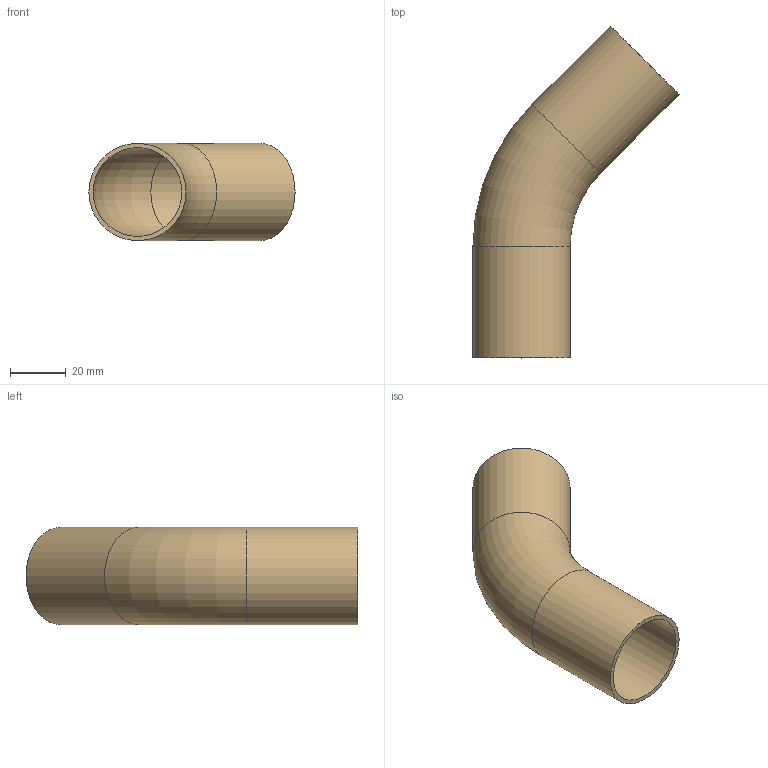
import cadquery as cq
import math

outer_diameter = 35.0
wall_thickness = 1.5
inner_diameter = outer_diameter - 2 * wall_thickness
bend_angle = 45.0
bend_radius = 55.0
leg_length = 40.0

bend_start = (0, leg_length)


def point_on_bend(angle):
    """Point of the centreline after the tube has turned by angle degrees."""
    turn = math.radians(angle)
    return (
        bend_start[0] + bend_radius * (1 - math.cos(turn)),
        bend_start[1] + bend_radius * math.sin(turn),
    )


def make_centreline():
    bend_middle = point_on_bend(bend_angle / 2)
    bend_end = point_on_bend(bend_angle)
    turn = math.radians(bend_angle)
    outlet = (
        bend_end[0] + leg_length * math.sin(turn),
        bend_end[1] + leg_length * math.cos(turn),
    )
    return (
        cq.Workplane("XY")
        .lineTo(*bend_start)
        .threePointArc(bend_middle, bend_end)
        .lineTo(*outlet)
    )


def make_tube(centreline):
    """Sweep the ring-shaped tube section along the centreline."""
    return (
        cq.Workplane("XZ")
        .circle(outer_diameter / 2)
        .circle(inner_diameter / 2)
        .sweep(centreline)
    )


result = make_tube(make_centreline())